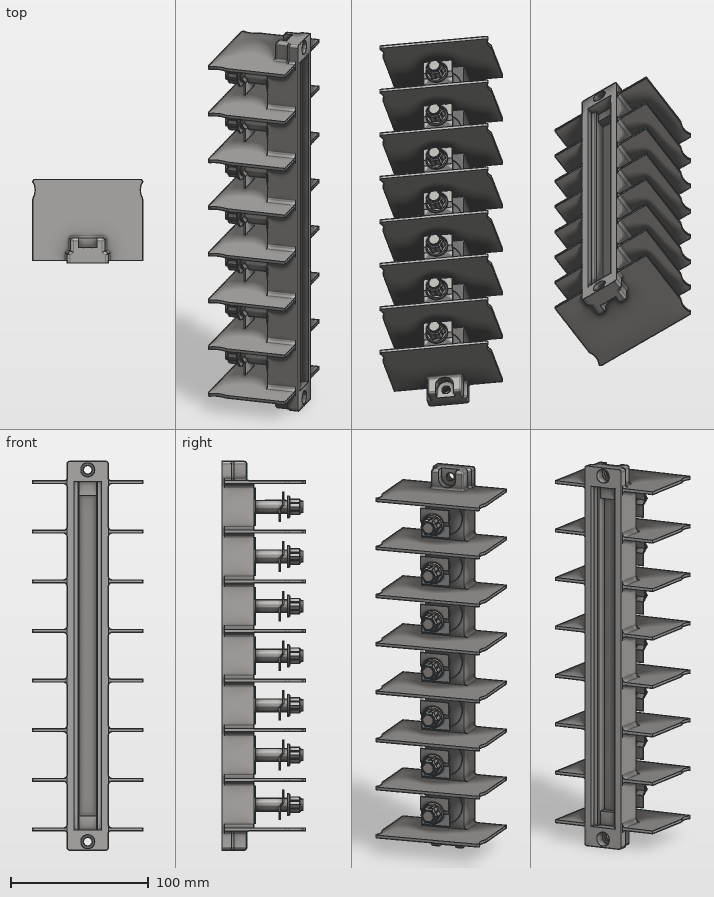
import cadquery as cq
import math


housing_length = 282.2
housing_width = 30.0
body_depth = 23.0

terminal_count = 7
barrier_count = terminal_count + 1
barrier_row_length = 252.0
barrier_thickness = 2.12
barrier_width = 80.0
barrier_front = 1.7
barrier_back = 60.7
barrier_corner_radius = 1.7
grip_back = 57.5
grip_front = 48.5
grip_run_out = 46.3
grip_depth = 1.7
grip_step = 0.8
root_radius = 2.8
end_root_radius = 1.7

lug_depth = 18.0
lug_back_width = 24.8
lug_step_front = 6.8
lug_step_back = 8.7
lug_edge_radius = 2.0
lug_corner_radius = 1.0
hole_inset = 6.2
hole_diameter = 6.2
counterbore_diameter = 10.2
counterbore_depth = 8.5
nut_slot_width = 13.3
nut_slot_floor = 11.3

channel_length = 252.9
channel_width = 20.0
channel_depth = 5.0
groove_width = 12.7
groove_depth = 14.0
groove_chamfer = 0.8
stop_length = 10.2
stop_front = 8.5

pad_diameter = 27.5
pad_thickness = 1.0
shank_diameter = 9.5
collar_diameter = 16.0
collar_front = 47.5
collar_thickness = 2.0
collar_chamfer = 0.8
head_flats = 11.3
head_back = 57.3
head_chamfer = 1.0
head_groove_width = 0.8
head_groove_depth = 0.3
head_sides = 6
tip_diameter = 8.2
tip_back = 59.0
clamp_size = 21.5
clamp_thickness = 1.0
clamp_upper_front = 44.0
clamp_lower_front = 41.5
clamp_jog_half_height = 1.7

half_width = housing_width / 2
half_barrier = barrier_width / 2
half_thickness = barrier_thickness / 2
pitch = barrier_row_length / terminal_count
outer_barrier_z = barrier_row_length / 2
body_length = barrier_row_length + barrier_thickness
hole_z = housing_length / 2 - hole_inset
collar_back = collar_front + collar_thickness


def box(width, y_start, y_end, z_start, z_end):
    """Block centred on x = 0."""
    depth = y_end - y_start
    height = z_end - z_start
    return (
        cq.Workplane("XY")
        .box(width, depth, height, centered=(True, False, False))
        .translate((0, y_start, z_start))
    )


def cylinder(diameter, y_start, y_end, z=0.0):
    """Round bar along Y."""
    return (
        cq.Workplane("XZ", origin=(0, y_start, z))
        .circle(diameter / 2)
        .extrude(y_start - y_end)
    )


def mirrored_in_z(shape):
    return shape.mirror("XY")


def barrier():
    """Barrier wall in mid plane z = 0, with a concave finger grip in both side edges."""
    r = barrier_corner_radius
    bevel = r * (1 - math.sqrt(0.5))
    run_out_mid = (grip_front + grip_run_out) / 2
    half = (
        cq.Workplane("XY", origin=(0, 0, -half_thickness))
        .moveTo(0, barrier_front)
        .lineTo(half_barrier, barrier_front)
        .lineTo(half_barrier, grip_run_out)
        .threePointArc(
            (half_barrier - grip_step / 3, run_out_mid),
            (half_barrier - grip_step, grip_front),
        )
        .threePointArc(
            (half_barrier - grip_depth, (grip_front + grip_back) / 2),
            (half_barrier - grip_step, grip_back),
        )
        .lineTo(half_barrier, barrier_back - r)
        .threePointArc(
            (half_barrier - bevel, barrier_back - bevel),
            (half_barrier - r, barrier_back),
        )
        .lineTo(0, barrier_back)
        .close()
        .extrude(barrier_thickness)
    )
    return half.union(half.mirror("YZ"))


def root_fillet(z_face, direction):
    """Concave fillets on both body sides at a barrier face; direction is +1 up or -1 down."""
    r = root_radius
    bevel = r * (1 - math.sqrt(0.5))
    right = (
        cq.Workplane("XZ", origin=(0, barrier_front, 0))
        .moveTo(half_width, z_face)
        .lineTo(half_width + r, z_face)
        .threePointArc(
            (half_width + bevel, z_face + direction * bevel),
            (half_width, z_face + direction * r),
        )
        .close()
        .extrude(barrier_front - body_depth)
    )
    return right.union(right.mirror("YZ"))


def lug_outline():
    """Lug section in the XY plane, stepped narrower towards its back."""
    half_back = lug_back_width / 2
    return cq.Workplane("XY").polyline([
        (-half_width, 0),
        (half_width, 0),
        (half_width, lug_step_front),
        (half_back, lug_step_back),
        (half_back, lug_depth),
        (-half_back, lug_depth),
        (-half_back, lug_step_back),
        (-half_width, lug_step_front),
    ]).close()


def upper_end():
    """Upper lug with rounded end edges, joined to the outer barrier by a fillet."""
    lug = lug_outline().extrude(housing_length / 2)
    lug = lug.faces(">Y").edges("|Z").fillet(lug_corner_radius)
    rounded_edges = lug.faces(">Z").edges("not <Y")
    lug = rounded_edges.fillet(lug_edge_radius)
    barrier_top = outer_barrier_z + half_thickness
    joined = lug.union(barrier().translate((0, 0, outer_barrier_z)))
    margin = 0.15
    root_edges = joined.edges(
        cq.selectors.BoxSelector(
            (-half_width - margin, barrier_front + margin, barrier_top - margin),
            (half_width + margin, lug_depth + margin, barrier_top + margin),
        )
    )
    return root_edges.fillet(end_root_radius)


def mounting_hole():
    """Counterbored hole, with a nut slot that is open at the end of the lug."""
    hole = cylinder(hole_diameter, 0, lug_depth, hole_z)
    counterbore = cylinder(counterbore_diameter, 0, counterbore_depth, hole_z)
    slot_bottom = cylinder(nut_slot_width, nut_slot_floor, lug_depth, hole_z)
    slot = box(nut_slot_width, nut_slot_floor, lug_depth, hole_z, housing_length / 2)
    return hole.union(counterbore).union(slot_bottom).union(slot)


def channel():
    """Shallow channel with a deeper chamfered groove and a stop block at both groove ends."""
    half_length = channel_length / 2
    half_channel = channel_width / 2
    half_groove = groove_width / 2
    half_mouth = half_groove + groove_chamfer
    chamfer_end = channel_depth + groove_chamfer
    cavity = (
        cq.Workplane("XY", origin=(0, 0, -half_length))
        .polyline([
            (-half_channel, 0),
            (half_channel, 0),
            (half_channel, channel_depth),
            (half_mouth, channel_depth),
            (half_groove, chamfer_end),
            (half_groove, groove_depth),
            (-half_groove, groove_depth),
            (-half_groove, chamfer_end),
            (-half_mouth, channel_depth),
            (-half_channel, channel_depth),
        ])
        .close()
        .extrude(channel_length)
    )
    stop = box(groove_width, stop_front, groove_depth, half_length - stop_length, half_length)
    return cavity.cut(stop).cut(mirrored_in_z(stop))


def make_housing():
    body = box(housing_width, 0, body_depth, -body_length / 2, body_length / 2)
    end = upper_end()
    body = body.union(end).union(mirrored_in_z(end))
    for i in range(1, barrier_count - 1):
        body = body.union(barrier().translate((0, 0, i * pitch - outer_barrier_z)))
    for i in range(terminal_count):
        lower_barrier_z = i * pitch - outer_barrier_z
        body = body.union(root_fillet(lower_barrier_z + half_thickness, 1))
        body = body.union(root_fillet(lower_barrier_z + pitch - half_thickness, -1))
    hole = mounting_hole()
    return body.cut(hole).cut(mirrored_in_z(hole)).cut(channel())


def clamp_plate():
    """Square plate with a jog, its upper half standing further back than its lower half."""
    half_size = clamp_size / 2
    jog = clamp_jog_half_height
    t = clamp_thickness
    return (
        cq.Workplane("YZ", origin=(-half_size, 0, 0))
        .polyline([
            (clamp_lower_front, -half_size),
            (clamp_lower_front + t, -half_size),
            (clamp_lower_front + t, -jog),
            (clamp_upper_front + t, jog),
            (clamp_upper_front + t, half_size),
            (clamp_upper_front, half_size),
            (clamp_upper_front, jog),
            (clamp_lower_front, -jog),
        ])
        .close()
        .extrude(clamp_size)
    )


def screw_head():
    """Hexagon head with two flats facing up and down and a fine groove along every flat."""
    corner_diameter = head_flats / math.cos(math.pi / head_sides)
    head = (
        cq.Workplane("XZ", origin=(0, collar_back, 0))
        .polygon(head_sides, corner_diameter)
        .extrude(collar_back - head_back)
        .faces(">Y")
        .chamfer(head_chamfer)
    )
    flat_z = head_flats / 2
    groove = box(head_groove_width, collar_back, head_back, flat_z - head_groove_depth, flat_z)
    for side in range(head_sides):
        head = head.cut(groove.rotate((0, 0, 0), (0, 1, 0), side * 360 / head_sides))
    return head


def make_terminal(z):
    """Contact pad, screw and clamp plate of one terminal, seated on the back of the housing."""
    collar = cylinder(collar_diameter, collar_front, collar_back)
    terminal = cylinder(pad_diameter, body_depth, body_depth + pad_thickness)
    terminal = terminal.union(cylinder(shank_diameter, body_depth, collar_front))
    terminal = terminal.union(clamp_plate())
    terminal = terminal.union(collar.faces(">Y").chamfer(collar_chamfer))
    terminal = terminal.union(screw_head())
    terminal = terminal.union(cylinder(tip_diameter, head_back, tip_back))
    return terminal.translate((0, 0, z))


housing = make_housing()
first_terminal_z = pitch / 2 - outer_barrier_z
terminals = [make_terminal(first_terminal_z + i * pitch) for i in range(terminal_count)]

result = cq.Compound.makeCompound([
    housing.val(),
    *[terminal.val() for terminal in terminals],
])